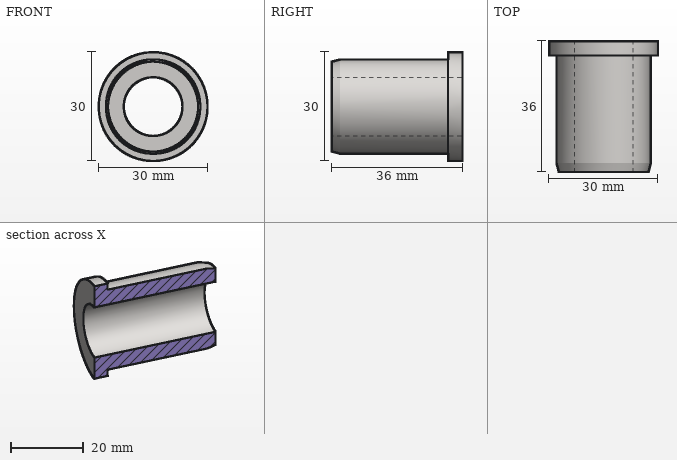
import cadquery as cq
import math

total_length = 36.0
flange_diameter = 30.0
flange_thickness = 4.0
body_diameter = 26.0
bore_diameter = 16.05
lead_in_length = 2.4
lead_in_angle = 15.0

body_radius = body_diameter / 2
flange_radius = flange_diameter / 2
bore_radius = bore_diameter / 2
tip_radius = body_radius - lead_in_length * math.tan(math.radians(lead_in_angle))
shoulder_y = total_length - flange_thickness

result = (
    cq.Workplane("XY")
    .moveTo(bore_radius, 0)
    .lineTo(tip_radius, 0)
    .lineTo(body_radius, lead_in_length)
    .lineTo(body_radius, shoulder_y)
    .lineTo(flange_radius, shoulder_y)
    .lineTo(flange_radius, total_length)
    .lineTo(bore_radius, total_length)
    .close()
    .revolve(360, (0, 0, 0), (0, 1, 0))
)